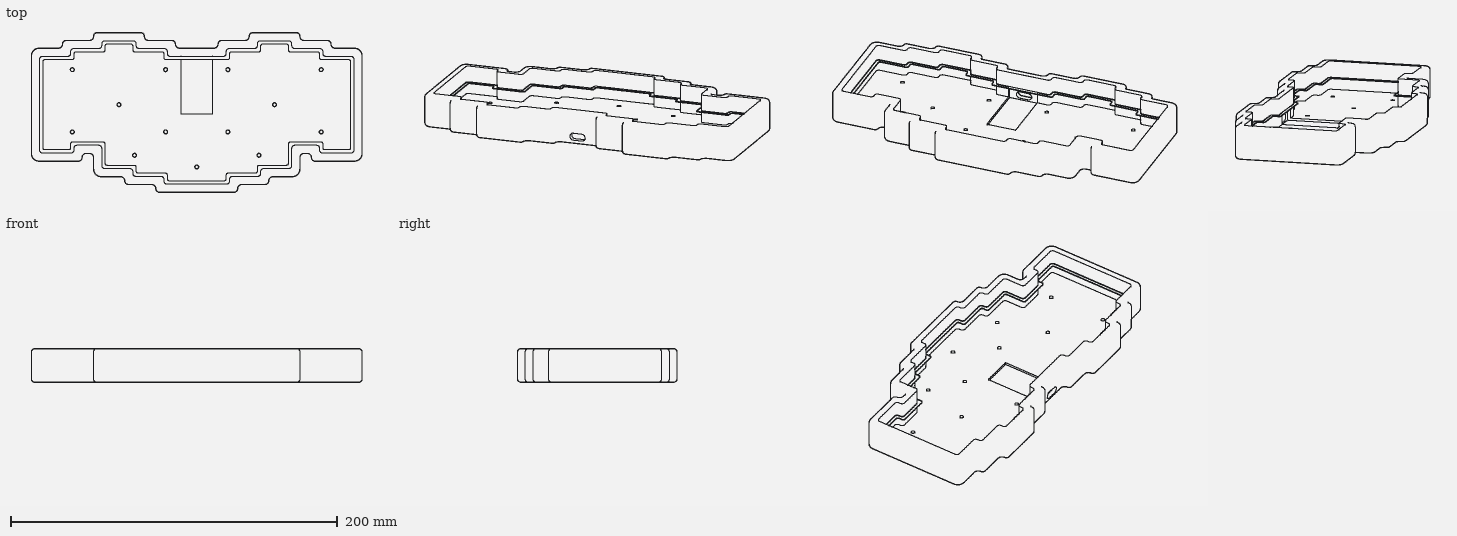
import cadquery as cq
import math

pitch = 19.0
stagger = pitch / 4

case_length = 202.5
case_width = 97.8
case_height = 20.7
edge_radius = 2.2
corner_radius = 4.9
step_radius = stagger / 2

wall_thickness = 5.0
lip_width = 2.0
lip_thickness = 0.5
lip_top = 10.5
cavity_radius = 1.8
lip_radius = 1.2
floor_height = 3.0

pocket_length = pitch
pocket_front = -1.0
pocket_depth = 1.5
pocket_undercut = 1.8
port_length = 10.0
port_height = 4.5
port_bottom = 2.6

hole_diameter = 2.2
hole_rows = {
    1.375: (-4, -1, 1, 4),
    0.25: (-2.5, 2.5),
    -0.625: (-4, -1, 1, 4),
    -1.375: (-2, 2),
    -1.75: (0,),
}

touching = 2.03e-06

half_length = case_length / 2
half_width = case_width / 2
grid_margin = half_length - 5 * pitch
back = half_width - 2 * stagger


def outline_half(inset):
    """Corners of the left half of the outline, moved inwards by inset, from back to front.

    Each corner is (x, y, is_step); is_step marks the corners at the column steps.
    """
    reach = grid_margin - inset
    top = back - inset
    bottom = -half_width + inset
    end_bottom = bottom + 4 * stagger
    return [
        (-pitch + reach, top, True),
        (-pitch + reach, top + stagger, True),
        (-2 * pitch + reach, top + stagger, True),
        (-2 * pitch + reach, top + 2 * stagger, True),
        (-3 * pitch - reach, top + 2 * stagger, True),
        (-3 * pitch - reach, top + stagger, True),
        (-4 * pitch - reach, top + stagger, True),
        (-4 * pitch - reach, top, True),
        (-5 * pitch - reach, top, False),
        (-5 * pitch - reach, end_bottom, False),
        (-4 * pitch + reach, end_bottom, True),
        (-4 * pitch + reach, end_bottom + stagger, True),
        (-3 * pitch - reach, end_bottom + stagger, True),
        (-3 * pitch - reach, bottom + 2 * stagger, False),
        (-2 * pitch - reach, bottom + 2 * stagger, True),
        (-2 * pitch - reach, bottom + stagger, True),
        (-pitch - reach, bottom + stagger, True),
        (-pitch - reach, bottom, True),
    ]


def toward(start, end, distance):
    """Point at a distance from start on the line to end."""
    length = math.dist(start, end)
    return tuple(a + (b - a) * distance / length for a, b in zip(start, end))


def rounded_prism(inset, large_radius, small_radius, bottom, top):
    """Solid between two heights with the inset outline and rounded corners."""
    left = outline_half(inset)
    right = [(-x, y, is_step) for x, y, is_step in reversed(left)]
    corners = left + right
    points = [(x, y) for x, y, _ in corners]
    arcs = []
    for i, (_, _, is_step) in enumerate(corners):
        radius = small_radius if is_step else large_radius
        corner = points[i]
        start = toward(corner, points[i - 1], radius)
        end = toward(corner, points[(i + 1) % len(points)], radius)
        centre = (start[0] + end[0] - corner[0], start[1] + end[1] - corner[1])
        arcs.append((start, toward(centre, corner, radius), end))

    position = arcs[-1][2]
    sketch = cq.Workplane("XY").workplane(offset=bottom).moveTo(*position)
    for start, middle, end in arcs:
        if math.dist(position, start) > touching:
            sketch = sketch.lineTo(*start)
        sketch = sketch.threePointArc(middle, end)
        position = end
    return sketch.close().extrude(top - bottom)


def make_case():
    body = rounded_prism(0, corner_radius, step_radius, 0, case_height)
    body = body.faces("<Z or >Z").edges().fillet(edge_radius)
    lip_bottom = lip_top - lip_thickness
    lower = rounded_prism(wall_thickness, cavity_radius, cavity_radius, floor_height, lip_bottom)
    opening = rounded_prism(
        wall_thickness + lip_width, lip_radius, lip_radius, floor_height, lip_top
    )
    upper = rounded_prism(wall_thickness, cavity_radius, cavity_radius, lip_top, case_height)
    return body.cut(lower).cut(opening).cut(upper)


def make_pocket():
    """Controller pocket in the floor, reaching under the lip into the back wall."""
    pocket_back = back - wall_thickness + pocket_undercut
    pocket_bottom = floor_height - pocket_depth
    return cq.Workplane("XY").box(
        pocket_length,
        pocket_back - pocket_front,
        lip_top - lip_thickness - pocket_bottom,
        centered=(True, False, False),
    ).translate((0, pocket_front, pocket_bottom))


def make_port():
    """Slot with round ends through the back wall."""
    return (
        cq.Workplane("XZ", origin=(0, half_width, port_bottom + port_height / 2))
        .slot2D(port_length, port_height)
        .extrude(half_width)
    )


def make_holes():
    places = [(x * pitch, y * pitch) for y, columns in hole_rows.items() for x in columns]
    return cq.Workplane("XY").pushPoints(places).circle(hole_diameter / 2).extrude(floor_height)


result = make_case().cut(make_pocket()).cut(make_port()).cut(make_holes())